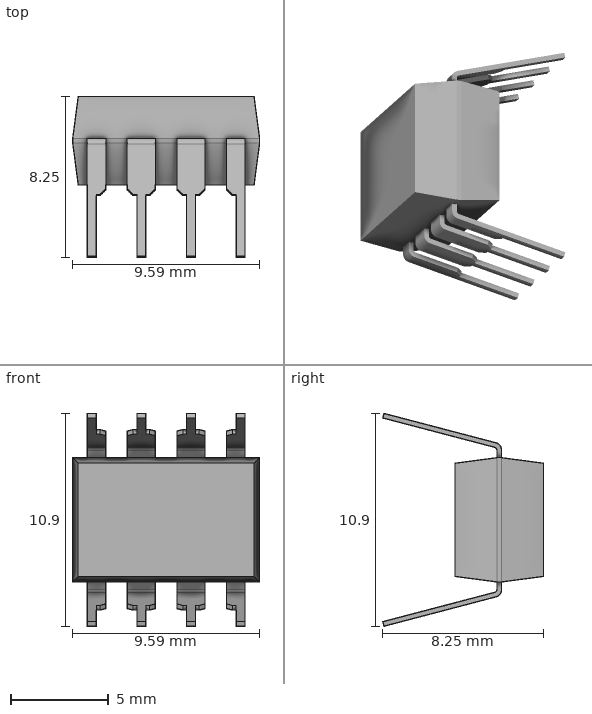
import cadquery as cq
import math

HOUSING_LENGTH = 9.59
HOUSING_HEIGHT = 6.38
HALF_DEPTH = 2.15
END_INSET = 0.28

ROW_SPAN = 10.92
LEADS_PER_ROW = 4
PITCH = 2.54
THICKNESS = 0.25
TAIL_WIDTH = 0.47
EAR_WIDTH = 0.49
EAR_CHAMFER = 0.31
BEND_RADIUS = 0.15
SPLAY_ANGLE = 14.7
EAR_LENGTH = 2.66
LEG_LENGTH = 5.93

BACK_FACE = THICKNESS / 2
OUTER_RADIUS = BEND_RADIUS + THICKNESS
BEND_CENTER_Y = BACK_FACE - OUTER_RADIUS
SPLAY = math.radians(SPLAY_ANGLE)
ROOT_Z = HOUSING_HEIGHT / 2
BEND_START_Z = ROW_SPAN / 2 - LEG_LENGTH * math.sin(SPLAY) - OUTER_RADIUS * math.cos(SPLAY)


def tapered_half(side):
    """Housing half on the +Y (side = 1) or -Y (side = -1) side of the band."""
    band_plane = cq.Plane(origin=(0, side * BACK_FACE, 0), xDir=(1, 0, 0), normal=(0, side, 0))
    return (
        cq.Workplane(band_plane)
        .rect(HOUSING_LENGTH, HOUSING_HEIGHT)
        .workplane(offset=HALF_DEPTH)
        .rect(HOUSING_LENGTH - 2 * END_INSET, HOUSING_HEIGHT - 2 * END_INSET)
        .loft(ruled=True)
    )


def make_housing():
    band = cq.Workplane("XY").box(HOUSING_LENGTH, THICKNESS, HOUSING_HEIGHT)
    return band.union(tapered_half(1)).union(tapered_half(-1))


def bend_point(radius, angle):
    """Point (Y, Z) on the bend, at an angle up from the +Y direction."""
    return (BEND_CENTER_Y + radius * math.cos(angle), BEND_START_Z + radius * math.sin(angle))


def make_bend(left, right):
    """Upright root and bend, spanning X from left to right."""
    bend_end = math.pi / 2 - SPLAY
    return (
        cq.Workplane("YZ", origin=(left, 0, 0))
        .moveTo(BACK_FACE, ROOT_Z)
        .lineTo(BACK_FACE, BEND_START_Z)
        .threePointArc(bend_point(OUTER_RADIUS, bend_end / 2), bend_point(OUTER_RADIUS, bend_end))
        .lineTo(*bend_point(BEND_RADIUS, bend_end))
        .threePointArc(bend_point(BEND_RADIUS, bend_end / 2), bend_point(BEND_RADIUS, 0))
        .lineTo(-BACK_FACE, ROOT_Z)
        .close()
        .extrude(right - left)
    )


def leg_plane(center_x):
    """Inner face of the leg at the bend: local x is +X, local y runs from the tip to the bend."""
    return cq.Plane(
        origin=(center_x, *bend_point(BEND_RADIUS, math.pi / 2 - SPLAY)),
        xDir=(1, 0, 0),
        normal=(0, math.sin(SPLAY), math.cos(SPLAY)),
    )


def make_tail(center_x):
    """Narrow strip running the full length of the leg."""
    return (
        cq.Workplane(leg_plane(center_x))
        .rect(TAIL_WIDTH, -LEG_LENGTH, centered=(True, False))
        .extrude(THICKNESS)
    )


def make_ear(center_x, side):
    """Wide part of the leg on the +X (side = 1) or -X (side = -1) side of the tail."""
    inner = side * TAIL_WIDTH / 2
    outer = inner + side * EAR_WIDTH
    return (
        cq.Workplane(leg_plane(center_x))
        .moveTo(inner, 0)
        .lineTo(outer, 0)
        .lineTo(outer, EAR_CHAMFER - EAR_LENGTH)
        .lineTo(outer - side * EAR_CHAMFER, -EAR_LENGTH)
        .lineTo(inner, -EAR_LENGTH)
        .close()
        .extrude(THICKNESS)
    )


def make_lead(center_x, ear_sides):
    """Upper-row lead whose tail is centred on center_x."""
    edges = [center_x - TAIL_WIDTH / 2, center_x + TAIL_WIDTH / 2]
    edges += [center_x + side * (TAIL_WIDTH / 2 + EAR_WIDTH) for side in ear_sides]
    lead = make_bend(min(edges), max(edges)).union(make_tail(center_x))
    for side in ear_sides:
        lead = lead.union(make_ear(center_x, side))
    return lead.clean()


def make_leads():
    """Both rows of leads; the end leads of a row have an ear on their inward side only."""
    leads = []
    for index in range(LEADS_PER_ROW):
        ear_sides = [-1, 1]
        if index == 0:
            ear_sides = [1]
        elif index == LEADS_PER_ROW - 1:
            ear_sides = [-1]
        center_x = (index - (LEADS_PER_ROW - 1) / 2) * PITCH
        upper_lead = make_lead(center_x, ear_sides)
        leads += [upper_lead.val(), upper_lead.mirror("XY").val()]
    return leads


housing = make_housing()
leads = make_leads()
result = cq.Compound.makeCompound([housing.val(), *leads])